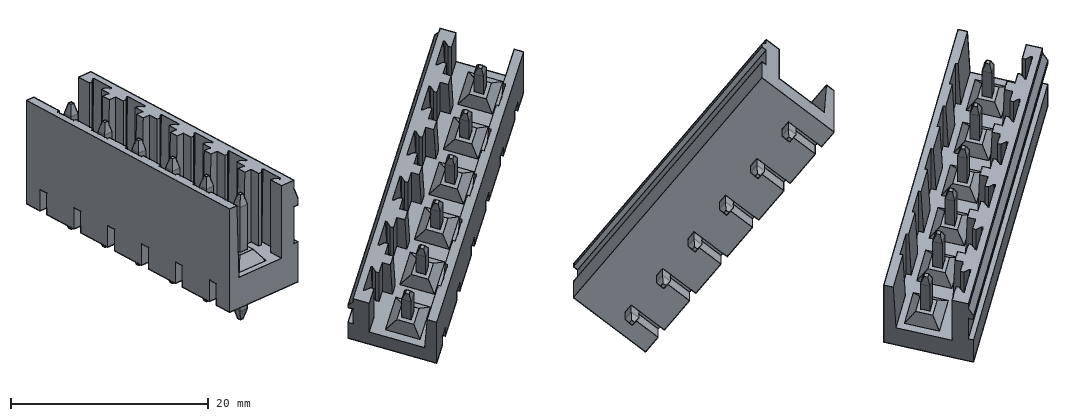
import cadquery as cq


LENGTH = 30.48
DEPTH = 9.4
HEIGHT = 12.0
WAYS = 6
PITCH = LENGTH / WAYS
FIRST_PIN_X = PITCH / 2
PIN_Y = 3.8
PIN_XS = [FIRST_PIN_X + i * PITCH for i in range(WAYS)]

FLOOR_Z = 3.6
FRONT_WALL = 0.73
BACK_WALL_INNER_Y = 7.13

BACK_SETBACK = 0.55
FOOT_TOP_Z = 4.65
HOOK_BOTTOM_Z = 8.93
HOOK_NOSE_Z = 9.72
HOOK_TOP_Z = 11.03

PAD_WIDTH = 2.65
PAD_TOP_Y = 1.0
PAD_FLOOR_Y = 1.28

RIB_WIDTH = 1.0
RIB_TOP_Y = 6.28
RIB_FLOOR_Y = 6.07

GROOVE_MOUTH = 1.8
GROOVE_WIDTH = 2.65
GROOVE_LIP_Y = 7.5
GROOVE_FLOOR_Y = 7.95
GROOVE_TOP_Y = 8.1

BOSS_BASE = 3.65
BOSS_TOP = 1.8
BOSS_TOP_Z = 4.88

PIN_WIDTH = 1.0
PIN_TIP_WIDTH = 0.4
PIN_TAPER = 1.22
PIN_BOTTOM_Z = -3.2
PIN_TOP_Z = 11.3

SLOT_HEIGHT = 2.5


def bar_along_x(profile, x_start, x_end):
    """Extrude a closed (Y, Z) profile from x_start to x_end."""
    return cq.Workplane("YZ", origin=(x_start, 0, 0)).polyline(profile).close().extrude(x_end - x_start)


def square_taper(x, z_start, width_start, z_end, width_end):
    """Square frustum on the pin line, from one height and width to another."""
    return (
        cq.Workplane("XY", origin=(x, PIN_Y, z_start))
        .rect(width_start, width_start)
        .workplane(offset=z_end - z_start)
        .rect(width_end, width_end)
        .loft(ruled=True)
    )


def make_shell():
    """U-shaped section with the foot and latch hook on its back."""
    set_back_y = DEPTH - BACK_SETBACK
    profile = [
        (0, 0),
        (DEPTH, 0),
        (DEPTH, FOOT_TOP_Z),
        (set_back_y, FOOT_TOP_Z),
        (set_back_y, HOOK_BOTTOM_Z),
        (DEPTH, HOOK_BOTTOM_Z),
        (DEPTH, HOOK_NOSE_Z),
        (set_back_y, HOOK_TOP_Z),
        (set_back_y, HEIGHT),
        (BACK_WALL_INNER_Y, HEIGHT),
        (BACK_WALL_INNER_Y, FLOOR_Z),
        (FRONT_WALL, FLOOR_Z),
        (FRONT_WALL, HEIGHT),
        (0, HEIGHT),
    ]
    return bar_along_x(profile, 0, LENGTH)


def make_pad(x_start, x_end):
    """Pad on the front wall, thicker at the floor than at the top."""
    profile = [(FRONT_WALL, FLOOR_Z), (PAD_FLOOR_Y, FLOOR_Z), (PAD_TOP_Y, HEIGHT), (FRONT_WALL, HEIGHT)]
    return bar_along_x(profile, x_start, x_end)


def make_rib(x):
    """Rib on the back wall, centred at x, thicker at the floor than at the top."""
    profile = [
        (BACK_WALL_INNER_Y, FLOOR_Z),
        (RIB_FLOOR_Y, FLOOR_Z),
        (RIB_TOP_Y, HEIGHT),
        (BACK_WALL_INNER_Y, HEIGHT),
    ]
    return bar_along_x(profile, x - RIB_WIDTH / 2, x + RIB_WIDTH / 2)


def make_groove(x):
    """Dovetail groove cutter whose back face leans outwards towards the top."""
    mouth = GROOVE_MOUTH / 2
    half = GROOVE_WIDTH / 2
    dovetail = (
        cq.Workplane("XY", origin=(x, 0, FLOOR_Z))
        .polyline([
            (-mouth, BACK_WALL_INNER_Y),
            (mouth, BACK_WALL_INNER_Y),
            (mouth, GROOVE_LIP_Y),
            (half, GROOVE_FLOOR_Y),
            (-half, GROOVE_FLOOR_Y),
            (-mouth, GROOVE_LIP_Y),
        ])
        .close()
        .extrude(HEIGHT - FLOOR_Z)
    )
    lean = [(GROOVE_FLOOR_Y, FLOOR_Z), (GROOVE_TOP_Y, HEIGHT), (GROOVE_FLOOR_Y, HEIGHT)]
    return dovetail.union(bar_along_x(lean, x - half, x + half))


def make_pin_passage(x):
    """Cutter for the square pin hole and the slot that opens it to the front."""
    hole = (
        cq.Workplane("XY", origin=(x, PIN_Y, 0))
        .rect(PIN_WIDTH, PIN_WIDTH)
        .extrude(BOSS_TOP_Z)
    )
    slot = (
        cq.Workplane("XY", origin=(x, 0, 0))
        .box(PIN_WIDTH, PIN_Y, SLOT_HEIGHT, centered=(True, False, False))
    )
    return hole.union(slot)


def make_housing():
    housing = make_shell()

    for x in PIN_XS:
        pad_start = 0 if x == PIN_XS[0] else x - PAD_WIDTH / 2
        pad_end = LENGTH if x == PIN_XS[-1] else x + PAD_WIDTH / 2
        housing = housing.union(make_pad(pad_start, pad_end))

    for x in PIN_XS[:-1]:
        housing = housing.union(make_rib(x + PITCH / 2))

    for x in PIN_XS:
        housing = housing.union(square_taper(x, FLOOR_Z, BOSS_BASE, BOSS_TOP_Z, BOSS_TOP))
        housing = housing.cut(make_groove(x))
        housing = housing.cut(make_pin_passage(x))
    return housing


def make_pin(x):
    """Straight square pin, tapered at both ends."""
    shank_bottom = PIN_BOTTOM_Z + PIN_TAPER
    shank_top = PIN_TOP_Z - PIN_TAPER
    shank = (
        cq.Workplane("XY", origin=(x, PIN_Y, shank_bottom))
        .rect(PIN_WIDTH, PIN_WIDTH)
        .extrude(shank_top - shank_bottom)
    )
    upper_tip = square_taper(x, shank_top, PIN_WIDTH, PIN_TOP_Z, PIN_TIP_WIDTH)
    lower_tip = square_taper(x, shank_bottom, PIN_WIDTH, PIN_BOTTOM_Z, PIN_TIP_WIDTH)
    return shank.union(upper_tip).union(lower_tip)


housing = make_housing()
pins = [make_pin(x) for x in PIN_XS]

result = cq.Compound.makeCompound([housing.val(), *[pin.val() for pin in pins]])